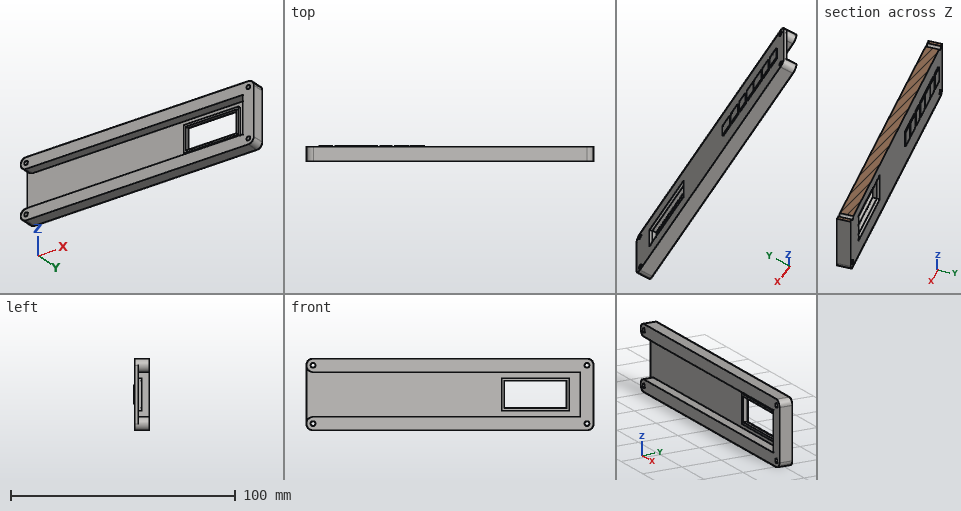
import cadquery as cq

LENGTH = 128.0
HEIGHT = 32.0
TOTAL_DEPTH = 7.0

PAD_DEPTH = 0.5
PAD_HEIGHT = 8.2
PAD_SPANS = [
    (5.9, 11.5),
    (12.8, 18.0),
    (18.7, 25.3),
    (25.9, 31.6),
    (32.9, 38.0),
    (39.4, 45.5),
    (46.3, 52.6),
]

BODY_DEPTH = TOTAL_DEPTH - PAD_DEPTH
FLOOR_THICKNESS = 1.5
RIM_WIDTH = 6.0
CORNER_RADIUS = RIM_WIDTH / 2
HOLE_DIAMETER = 2.0

WINDOW_LENGTH = 27.6
WINDOW_HEIGHT = 12.0
FRAME_WIDTH = 1.2
FRAME_RISE = 1.5
WINDOW_CENTER_X = 102.0
WINDOW_CHAMFER = 1.0
CHAMFER_ANGLE = 45

BACK_Y = BODY_DEPTH
FLOOR_Y = BACK_Y - FLOOR_THICKNESS


def block(x_center, length, height, front_y, back_y):
    """Box centred on Z = 0 that spans front_y to back_y."""
    return (
        cq.Workplane("XZ", origin=(x_center, front_y, 0))
        .rect(length, height)
        .extrude(front_y - back_y)
    )


def make_body():
    """Rounded back plate with two full-round rails joined by a post at the right end."""
    body = block(LENGTH / 2, LENGTH, HEIGHT, FLOOR_Y, BACK_Y).edges("|Y").fillet(CORNER_RADIUS)
    rails = (
        cq.Workplane("XZ", origin=(LENGTH / 2, 0, 0))
        .rarray(1.3, HEIGHT - RIM_WIDTH, 1, 2)
        .slot2D(LENGTH, RIM_WIDTH)
        .extrude(-BODY_DEPTH)
    )
    post = (
        block(LENGTH - RIM_WIDTH / 2, RIM_WIDTH, HEIGHT, 0, BACK_Y)
        .edges("|Y and >X")
        .fillet(CORNER_RADIUS)
    )
    return body.union(rails).union(post)


def add_window(body):
    """Raise a frame from the floor and cut the window through it, flared at the back."""
    frame = block(
        WINDOW_CENTER_X,
        WINDOW_LENGTH + 2 * FRAME_WIDTH,
        WINDOW_HEIGHT + 2 * FRAME_WIDTH,
        FLOOR_Y - FRAME_RISE,
        BACK_Y,
    )
    opening = block(WINDOW_CENTER_X, WINDOW_LENGTH, WINDOW_HEIGHT, 0, BACK_Y)
    flare = (
        cq.Workplane("XZ", origin=(WINDOW_CENTER_X, BACK_Y, 0))
        .rect(WINDOW_LENGTH + 2 * WINDOW_CHAMFER, WINDOW_HEIGHT + 2 * WINDOW_CHAMFER)
        .extrude(WINDOW_CHAMFER, taper=CHAMFER_ANGLE)
    )
    return body.union(frame).cut(opening).cut(flare)


def cut_screw_holes(body):
    """Drill the four through holes on the centres of the corner rounds."""
    holes = (
        cq.Workplane("XZ", origin=(LENGTH / 2, 0, 0))
        .rect(LENGTH - 2 * CORNER_RADIUS, HEIGHT - 2 * CORNER_RADIUS, forConstruction=True)
        .vertices()
        .circle(HOLE_DIAMETER / 2)
        .extrude(-BODY_DEPTH)
    )
    return body.cut(holes)


def add_back_pads(body):
    """Raise the row of pads on the back face."""
    for start, end in PAD_SPANS:
        pad = block((start + end) / 2, end - start, PAD_HEIGHT, FLOOR_Y, BACK_Y + PAD_DEPTH)
        body = body.union(pad)
    return body


part = make_body()
part = add_window(part)
part = cut_screw_holes(part)
result = add_back_pads(part)